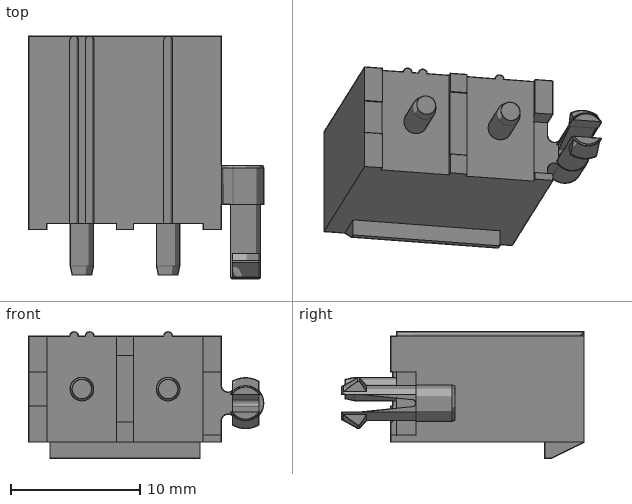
import cadquery as cq
import math


overall_length = 18.8

body_width = 14.9
body_length = 14.98
body_height = 8.22
half_width = body_width / 2

front_recess = 0.47
side_rail_width = 1.41
middle_rail_width = 1.33
rail_step_depth = 0.15
side_step_bottom = 2.82
side_step_top = 5.45
middle_step_bottom = 1.56
middle_step_top = 6.71

pin_spacing = 6.67
pin_height = 4.12
pin_diameter = 1.82
pin_radius = pin_diameter / 2
pin_tip_radius = 0.75
pin_reach = 3.52
pin_taper_length = 0.71

rib_radius = 0.34
rib_pair_spacing = 1.2

latch_width = 11.62
latch_length = 3.06
latch_flat = 0.55
latch_drop = 1.25

boss_radius = 1.41
boss_offset = 1.88
boss_front = 1.95
boss_back = 4.98
boss_chamfer_length = 0.23
boss_chamfer_inset = 0.1
neck_radius = 0.53
peg_x = half_width + boss_offset
peg_z = 3.03
rail_slot_bottom = 0.55

peg_radius = 1.35
peg_reach = overall_length - body_length
peg_tip_chamfer = 0.11
slot_root_width = 0.55
slot_width = 1.35
slot_taper_end = 2.31
leg_rib_width = 2.05
slot_root_y = 1.65
barb_start = 1.86
barb_peak_start = 2.4
barb_peak_end = 2.55
barb_end = 3.65
barb_radius = 1.97
barb_width = 2.05


def box(x_range, y_range, z_range):
    """Box given by its (low, high) limits along each axis."""
    sizes = [high - low for low, high in (x_range, y_range, z_range)]
    corner = (x_range[0], y_range[0], z_range[0])
    return cq.Workplane("XY").box(*sizes, centered=False).translate(corner)


def revolve_along_y(profile, x, z):
    """Solid turned about the line parallel to Y at (x, z), from (radius, y) points."""
    turned = cq.Workplane("XY").polyline(profile).close().revolve(360, (0, 0), (0, 1))
    return turned.translate((x, 0, z))


def make_housing():
    full_height = (0, body_height)
    housing = box((-half_width, half_width), (front_recess, body_length), full_height)
    rail_inner = half_width - side_rail_width
    left_rail = (-half_width, -rail_inner)
    right_rail = (rail_inner, half_width)
    middle_rail = (-middle_rail_width / 2, middle_rail_width / 2)
    for rail in (left_rail, middle_rail, right_rail):
        housing = housing.union(box(rail, (0, front_recess), full_height))
    step = (0, rail_step_depth)
    housing = housing.cut(box(left_rail, step, (side_step_bottom, side_step_top)))
    housing = housing.cut(box(middle_rail, step, (middle_step_bottom, middle_step_top)))
    return housing.cut(box(right_rail, (0, boss_front), (rail_slot_bottom, side_step_top)))


def make_pin(x):
    profile = [
        (0, front_recess),
        (pin_radius, front_recess),
        (pin_radius, pin_taper_length - pin_reach),
        (pin_tip_radius, -pin_reach),
        (0, -pin_reach),
    ]
    return revolve_along_y(profile, x, pin_height)


def make_rib(x):
    """Half-round rib whose back end is rounded in plan."""
    length = body_length - front_recess
    bar = (
        cq.Workplane("XZ", origin=(x, front_recess, body_height))
        .moveTo(-rib_radius, 0)
        .threePointArc((0, rib_radius), (rib_radius, 0))
        .close()
        .extrude(-length)
    )
    round_start = body_length - rib_radius
    plan = (
        cq.Workplane("XY", origin=(x, 0, body_height))
        .moveTo(-rib_radius, front_recess)
        .lineTo(rib_radius, front_recess)
        .lineTo(rib_radius, round_start)
        .threePointArc((0, body_length), (-rib_radius, round_start))
        .close()
        .extrude(rib_radius)
    )
    return bar.intersect(plan)


def make_latch():
    front = body_length - latch_length
    profile = [
        (body_length, 0),
        (front, 0),
        (front, -latch_drop),
        (front + latch_flat, -latch_drop),
    ]
    return cq.Workplane("YZ").polyline(profile).close().extrude(latch_width / 2, both=True)


def boss_outline(inset, y):
    """Wire at the given y: boss circle and concave neck, shrunk all round by the inset."""
    arc_x = half_width + neck_radius
    centre_distance = boss_radius + neck_radius
    arc_rise = math.sqrt(centre_distance**2 - (peg_x - arc_x) ** 2)
    arc_radius = neck_radius + inset
    wall_rise = arc_rise - math.sqrt(arc_radius**2 - neck_radius**2)
    waist = arc_rise - arc_radius
    touch = (boss_radius - inset) / centre_distance
    touch_x = peg_x - (peg_x - arc_x) * touch
    touch_rise = arc_rise * touch
    return (
        cq.Workplane("XZ", origin=(0, y, peg_z))
        .moveTo(half_width, -wall_rise)
        .threePointArc((arc_x, -waist), (touch_x, -touch_rise))
        .threePointArc((peg_x + boss_radius - inset, 0), (touch_x, touch_rise))
        .threePointArc((arc_x, waist), (half_width, wall_rise))
        .close()
    )


def make_boss():
    """Round boss joined to the housing by a concave neck, with a chamfered back edge."""
    chamfer_start = boss_back - boss_chamfer_length
    body = boss_outline(0, boss_front).extrude(boss_front - chamfer_start)
    base_wire = boss_outline(0, chamfer_start).val()
    back_wire = boss_outline(boss_chamfer_inset, boss_back).val()
    chamfered_end = cq.Solid.makeLoft([base_wire, back_wire], True)
    return body.union(cq.Workplane(chamfered_end))


def make_peg():
    shaft_profile = [
        (0, boss_front),
        (peg_radius, boss_front),
        (peg_radius, peg_tip_chamfer - peg_reach),
        (peg_radius - peg_tip_chamfer, -peg_reach),
        (0, -peg_reach),
    ]
    barb_profile = [
        (0, -barb_start),
        (peg_radius, -barb_start),
        (barb_radius, -barb_peak_start),
        (barb_radius, -barb_peak_end),
        (peg_radius, -barb_end),
        (0, -barb_end),
    ]
    y_range = (-peg_reach, boss_front)
    z_range = (peg_z - barb_radius, peg_z + barb_radius)
    barb_slab = box((peg_x - barb_width / 2, peg_x + barb_width / 2), y_range, z_range)
    barb = revolve_along_y(barb_profile, peg_x, peg_z).intersect(barb_slab)
    slot = box(
        (peg_x - peg_radius, peg_x + peg_radius),
        y_range,
        (peg_z - slot_width / 2, peg_z + slot_width / 2),
    )
    shaft = revolve_along_y(shaft_profile, peg_x, peg_z)
    return shaft.union(barb).cut(slot).union(make_leg_ribs())


def make_leg_ribs():
    """Wedges thickening the inner sides of both legs, joined by a round slot root."""
    root = slot_root_width / 2
    side = slot_width / 2
    return (
        cq.Workplane("YZ", origin=(peg_x, 0, peg_z))
        .moveTo(-slot_taper_end, -side)
        .lineTo(slot_root_y, -root)
        .threePointArc((slot_root_y + root, 0), (slot_root_y, root))
        .lineTo(-slot_taper_end, side)
        .lineTo(boss_front, side)
        .lineTo(boss_front, -side)
        .close()
        .extrude(leg_rib_width / 2, both=True)
    )


left_pin_x = -pin_spacing / 2
right_pin_x = pin_spacing / 2
rib_positions = (left_pin_x - rib_pair_spacing / 2, left_pin_x + rib_pair_spacing / 2, right_pin_x)

result = make_housing().union(make_latch())
for pin_x in (left_pin_x, right_pin_x):
    result = result.union(make_pin(pin_x))
for rib_x in rib_positions:
    result = result.union(make_rib(rib_x))
result = result.union(make_boss()).union(make_peg())